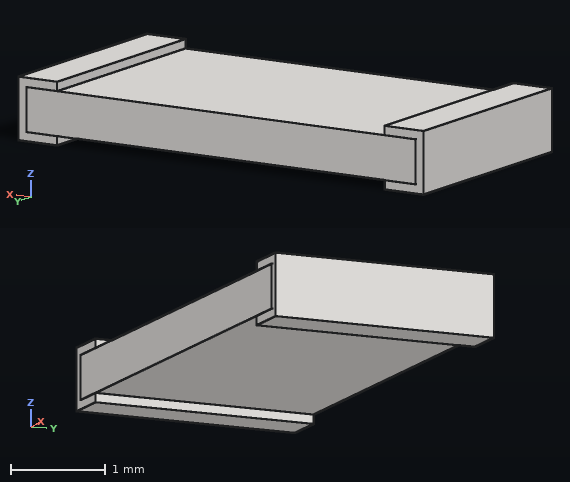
import cadquery as cq

length = 5.08
width = 2.54
height = 0.69

cap_wall = 0.1
cap_length = 0.49

body_length = length - 2 * cap_wall
body_height = height - 2 * cap_wall


def make_body():
    """Flat rectangular body, centred on the origin."""
    return cq.Workplane("XY").box(body_length, width, body_height)


def make_end_cap(side):
    """C-shaped cap open toward the middle; side is -1 or +1 along X."""
    cap_center = side * (length - cap_length) / 2
    block = cq.Workplane("XY").box(cap_length, width, height).translate((cap_center, 0, 0))
    return block.cut(make_body())


body = make_body()
end_caps = [make_end_cap(side) for side in (-1, 1)]

result = cq.Compound.makeCompound([body.val(), *[cap.val() for cap in end_caps]])